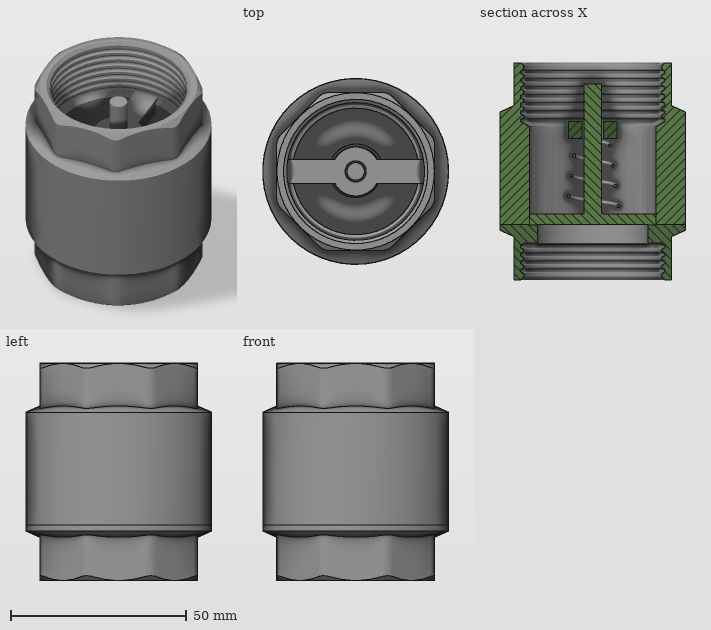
import cadquery as cq
import math


total_height = 62.0
barrel_diameter = 53.0

barrel_bottom = 14.2
barrel_top = 48.0
joint_height = 15.9
shoulder_slope = 0.45

flat_count = 8
across_flats = 45.0
corner_radius = 4.35
end_face_diameter = 44.8
end_chamfer_slope = 0.9

thread_crest_diameter = 39.25
thread_root_diameter = 41.1
mouth_depth = 0.9
thread_pitch = 2.3
flank_angle = 27.5
root_width = 0.55
first_root_depth = 2.7
housing_turns = 7
cap_turns = 4

housing_socket_depth = 17.3
cap_socket_depth = 10.55
bore_diameter = 36.1
funnel_depth = 0.85
seat_bore_diameter = 31.5

bar_width = 6.95
bar_thickness = 4.95
bar_rise = 0.6
hub_diameter = 13.95
guide_hole_diameter = 6.0

disc_thickness = 3.1
stem_diameter = 5.0
stem_top = 56.05

wire_diameter = 1.0
spring_base_diameter = 16.05
spring_turns = 3.5
spring_growth = 0.8

funnel_top = total_height - housing_socket_depth
bar_top = funnel_top + bar_rise
bar_bottom = bar_top - bar_thickness
disc_top = joint_height + disc_thickness


def cylinder(diameter, bottom, top):
    return cq.Workplane("XY").workplane(offset=bottom).circle(diameter / 2).extrude(top - bottom)


def revolve_about_z(points):
    return cq.Workplane("XZ").polyline(points).close().revolve(360, (0, 0, 0), (0, 1, 0))


def wrench_end(bottom, top):
    """Octagonal prism with rounded corners, flats facing X and Y, chamfered at its upper end."""
    across_corners = across_flats / math.cos(math.pi / flat_count)
    prism = (
        cq.Workplane("XY")
        .workplane(offset=bottom)
        .transformed(rotate=(0, 0, 180 / flat_count))
        .polygon(flat_count, across_corners)
        .extrude(top - bottom)
        .edges("|Z")
        .fillet(corner_radius)
    )
    face_radius = end_face_diameter / 2
    outer_radius = across_corners / 2
    chamfer_drop = (outer_radius - face_radius) * end_chamfer_slope
    envelope = revolve_about_z([
        (0, bottom),
        (outer_radius, bottom),
        (outer_radius, top - chamfer_drop),
        (face_radius, top),
        (0, top),
    ])
    return prism.intersect(envelope)


def barrel_half(bottom, top):
    """Barrel section with a conical shoulder rising to the wrench end above its top edge."""
    radius = barrel_diameter / 2
    neck_radius = end_face_diameter / 2
    neck_height = top + (radius - neck_radius) * shoulder_slope
    return revolve_about_z([
        (0, bottom),
        (radius, bottom),
        (radius, top),
        (neck_radius, neck_height),
        (0, neck_height),
    ])


def thread_groove(middle):
    """One ring-shaped thread groove, centred at the given height."""
    crest_radius = thread_crest_diameter / 2
    root_radius = thread_root_diameter / 2
    half_root = root_width / 2
    half_mouth = half_root + (root_radius - crest_radius) * math.tan(math.radians(flank_angle))
    return revolve_about_z([
        (0, middle - half_mouth),
        (crest_radius, middle - half_mouth),
        (root_radius, middle - half_root),
        (root_radius, middle + half_root),
        (crest_radius, middle + half_mouth),
        (0, middle + half_mouth),
    ])


def threaded_socket(end_face, depth, turns):
    """Cutter for a socket that opens upward: crest bore, mouth chamfer and thread grooves."""
    crest_radius = thread_crest_diameter / 2
    socket = revolve_about_z([
        (0, end_face - depth),
        (crest_radius, end_face - depth),
        (crest_radius, end_face - mouth_depth),
        (thread_root_diameter / 2, end_face),
        (0, end_face),
    ])
    for turn in range(turns):
        socket = socket.union(thread_groove(end_face - first_root_depth - turn * thread_pitch))
    return socket


def guide_seat(bottom):
    """Passage below the housing socket: a funnel that narrows into the straight bore."""
    return revolve_about_z([
        (0, bottom),
        (bore_diameter / 2, bottom),
        (bore_diameter / 2, funnel_top - funnel_depth),
        (thread_crest_diameter / 2, funnel_top),
        (0, funnel_top),
    ])


def make_housing():
    body = barrel_half(joint_height, barrel_top).union(wrench_end(barrel_top, total_height))
    body = body.cut(threaded_socket(total_height, housing_socket_depth, housing_turns))
    return body.cut(guide_seat(joint_height))


def make_cap():
    """Lower end, shaped pointing upward from its joint face and then turned over."""
    joint = -joint_height
    body = barrel_half(joint, -barrel_bottom).union(wrench_end(-barrel_bottom, 0))
    body = body.cut(threaded_socket(0, cap_socket_depth, cap_turns))
    body = body.cut(cylinder(seat_bore_diameter, joint, -cap_socket_depth))
    return body.rotate((0, 0, 0), (1, 0, 0), 180)


def make_guide():
    """Bar across the bore with a central hub; its ends rest in the funnel."""
    recess = guide_seat(bar_bottom).union(cylinder(thread_crest_diameter, funnel_top, bar_top))
    bar = (
        cq.Workplane("XY")
        .workplane(offset=bar_bottom)
        .rect(barrel_diameter, bar_width)
        .extrude(bar_thickness)
        .intersect(recess)
    )
    hub = cylinder(hub_diameter, bar_bottom, bar_top)
    return bar.union(hub).cut(cylinder(guide_hole_diameter, bar_bottom, bar_top))


def make_poppet():
    disc = cylinder(bore_diameter, joint_height, disc_top)
    return disc.union(cylinder(stem_diameter, disc_top, stem_top))


def make_spring():
    """Round wire on a cone, widening downward from the hub to the disc."""
    wire_radius = wire_diameter / 2
    height = bar_bottom - disc_top - wire_diameter
    pitch = height / spring_turns
    base_radius = spring_base_diameter / 2 - wire_radius
    top_radius = base_radius - spring_growth * spring_turns
    cone_angle = math.degrees(math.atan2(spring_growth, pitch))
    coil = cq.Wire.makeHelix(
        pitch,
        height,
        top_radius,
        center=cq.Vector(0, 0, bar_bottom - wire_radius),
        dir=cq.Vector(0, 0, -1),
        angle=cone_angle,
    )
    start = cq.Plane(origin=coil.startPoint(), normal=coil.tangentAt(0))
    return cq.Workplane(start).circle(wire_radius).sweep(cq.Workplane(obj=coil), isFrenet=True)


housing = make_housing()
cap = make_cap()
guide = make_guide()
poppet = make_poppet()
spring = make_spring()

result = cq.Compound.makeCompound([
    housing.val(),
    cap.val(),
    guide.val(),
    poppet.val(),
    spring.val(),
])